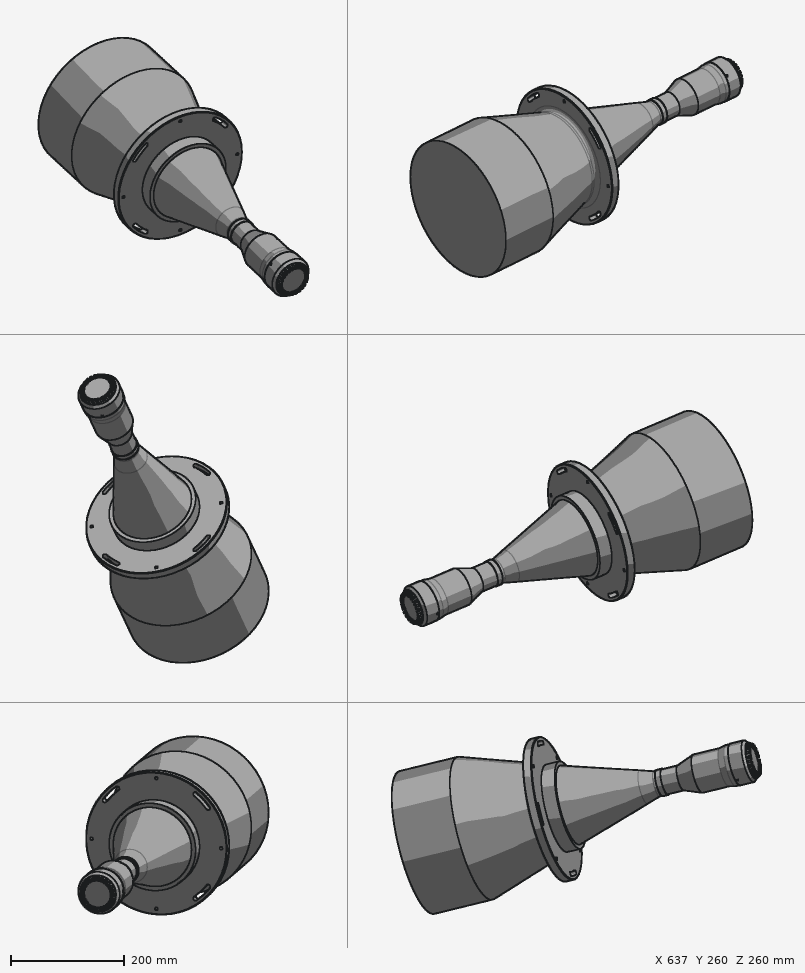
import cadquery as cq
import math

total_length = 637.0

barrel_radius = 130.0
barrel_length = 109.5
waist_radius = 90.0
waist_start = 234.5

flange_radius = 130.0
flange_start = 246.5
flange_end = 263.0
flange_chamfer = 1.0
root_fillet = 7.5

collar_radius = 79.5
collar_end = 288.0
cone_start_radius = 72.0
cone_break_x = 426.0
cone_break_radius = 30.5

neck_start = 451.0
neck_end = 496.0
neck_radius = 23.0
ring_start = 456.0
ring_end = 466.0
ring_radius = 24.0

handle_start = 529.0
handle_end = 578.5
handle_radius = 35.0
cap_start = 590.5
cap_rear_radius = 37.5
cap_radius = 38.0
cap_seam = 599.0
cap_nose_start = 624.0
nose_break_x = 629.5
nose_break_radius = 33.0
tip_radius = 29.0

hole_circle_radius = 119.0
slot_count = 4
slot_width = 7.5
slot_first_angle = 45
slot_half_sweep = 8
pin_count = 4
pin_diameter = 5.0

screw_diameter = 4.0
screw_depth = 6.5
screw_x = 602.0
screw_angles = (45, 180, 270)

notch_count = 24
notch_width = 4.0
notch_length = total_length - nose_break_x
notch_floor_radius = 24.0

tip_recess_depth = 2.5
tip_recess_radius = 25.5


def turned_body():
    fillet_start = flange_start - root_fillet
    fillet_mid = root_fillet * math.sqrt(0.5)
    profile = (
        cq.Workplane("XY")
        .lineTo(0, barrel_radius)
        .lineTo(barrel_length, barrel_radius)
        .lineTo(waist_start, waist_radius)
        .lineTo(fillet_start, waist_radius)
        .threePointArc(
            (fillet_start + fillet_mid, waist_radius + root_fillet - fillet_mid),
            (flange_start, waist_radius + root_fillet),
        )
        .lineTo(flange_start, flange_radius - flange_chamfer)
        .lineTo(flange_start + flange_chamfer, flange_radius)
        .lineTo(flange_end - flange_chamfer, flange_radius)
        .lineTo(flange_end, flange_radius - flange_chamfer)
        .lineTo(flange_end, collar_radius)
        .lineTo(collar_end, collar_radius)
        .lineTo(collar_end, cone_start_radius)
        .lineTo(cone_break_x, cone_break_radius)
        .lineTo(neck_start, neck_radius)
        .lineTo(ring_start, neck_radius)
        .lineTo(ring_start, ring_radius)
        .lineTo(ring_end, ring_radius)
        .lineTo(ring_end, neck_radius)
        .lineTo(neck_end, neck_radius)
        .lineTo(handle_start, handle_radius)
        .lineTo(handle_end, handle_radius)
        .lineTo(cap_start, cap_rear_radius)
        .lineTo(cap_seam, cap_rear_radius)
        .lineTo(cap_seam, cap_radius)
        .lineTo(cap_nose_start, cap_radius)
        .lineTo(nose_break_x, nose_break_radius)
        .lineTo(total_length, tip_radius)
        .lineTo(total_length, tip_recess_radius)
        .lineTo(total_length - tip_recess_depth, tip_recess_radius)
        .lineTo(total_length - tip_recess_depth, 0)
        .close()
    )
    return profile.revolve(360, (0, 0, 0), (1, 0, 0))


def ring_point(radius, angle):
    """Point on a circle about X, in the local axes of a YZ workplane."""
    turn = math.radians(angle)
    return (radius * math.cos(turn), radius * math.sin(turn))


def flange_slot(angle):
    inner = hole_circle_radius - slot_width / 2
    outer = hole_circle_radius + slot_width / 2
    first = angle - slot_half_sweep
    last = angle + slot_half_sweep
    band = (
        cq.Workplane("YZ", origin=(flange_start, 0, 0))
        .moveTo(*ring_point(inner, first))
        .threePointArc(ring_point(inner, angle), ring_point(inner, last))
        .lineTo(*ring_point(outer, last))
        .threePointArc(ring_point(outer, angle), ring_point(outer, first))
        .close()
        .extrude(flange_end - flange_start)
    )
    ends = (
        cq.Workplane("YZ", origin=(flange_start, 0, 0))
        .pushPoints([ring_point(hole_circle_radius, first), ring_point(hole_circle_radius, last)])
        .circle(slot_width / 2)
        .extrude(flange_end - flange_start)
    )
    return band.union(ends)


def flange_pins():
    return (
        cq.Workplane("YZ", origin=(flange_start, 0, 0))
        .polarArray(hole_circle_radius, 0, 360, pin_count)
        .circle(pin_diameter / 2)
        .extrude(flange_end - flange_start)
    )


def screw_hole(angle):
    """Radial hole at an angle measured from -Y towards +Z."""
    hole = (
        cq.Workplane("XZ", origin=(screw_x, -(cap_radius - screw_depth), 0))
        .circle(screw_diameter / 2)
        .extrude(2 * screw_depth)
    )
    return hole.rotate((0, 0, 0), (1, 0, 0), -angle)


def tip_notch(angle):
    notch_height = cap_radius - notch_floor_radius
    notch = cq.Workplane("XY").box(
        notch_length, notch_width, notch_height, centered=(False, True, False)
    )
    notch = notch.translate((nose_break_x, 0, notch_floor_radius))
    return notch.rotate((0, 0, 0), (1, 0, 0), angle)


result = turned_body().cut(flange_pins())
for index in range(slot_count):
    result = result.cut(flange_slot(slot_first_angle + index * 360 / slot_count))
for screw_angle in screw_angles:
    result = result.cut(screw_hole(screw_angle))
for index in range(notch_count):
    result = result.cut(tip_notch(index * 360 / notch_count))